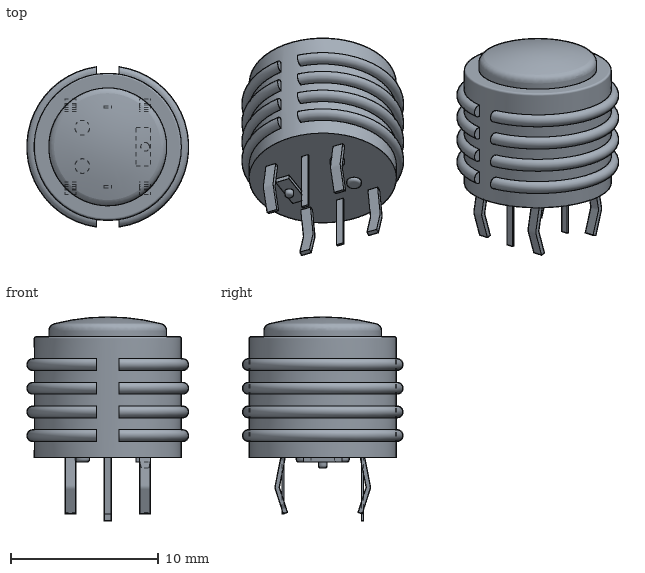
import cadquery as cq
import math

OVERALL_HEIGHT = 13.85

BODY_DIAMETER = 10.0
BODY_HEIGHT = 8.21
RIM_FILLET = 0.14
body_radius = BODY_DIAMETER / 2

BUTTON_DIAMETER = 8.0
BUTTON_FILLET = 0.5
DOME_TOP = 9.55
DOME_SPHERE_RADIUS = 14.54

RING_COUNT = 4
RING_FIRST_Z = 1.5
RING_PITCH = 1.6
RING_HEIGHT = 0.8
RING_PROJECTION = 0.5
RING_GAP = 1.5

LEG_ROOT_Y = 2.7
ROOT_DEPTH = 0.42

LEG_X = 2.53
LEG_WIDTH = 0.73
LEG_THICKNESS = 0.3
LEG_BEND_Z = -2.02
LEG_BEND_Y = 3.1
LEG_TIP_Z = -3.77
LEG_TIP_Y = 2.53
LEG_BEND_RADIUS = 0.35

PIN_WIDTH = 0.5
PIN_THICKNESS = 0.15
LONG_PIN_LENGTH = OVERALL_HEIGHT - DOME_TOP
SHORT_PIN_LENGTH = 3.82

FOOT_HEIGHT = 0.3
FOOT_DIAMETER = 1.0
FOOT_X = -1.73
FOOT_Y = 1.3
FOOT_FILLET = 0.18
PAD_INNER_X = 1.91
PAD_LENGTH_X = 1.0
PAD_WIDTH_Y = 2 * FOOT_Y
POST_X = LEG_X
POST_DIAMETER = 0.6
POST_LENGTH = 0.72
POST_FILLET = 0.18


def make_body():
    cylinder = cq.Workplane("XY").circle(body_radius).extrude(BODY_HEIGHT)
    return cylinder.faces(">Z").edges().fillet(RIM_FILLET)


def make_button():
    """Cylinder trimmed by a sphere, with the edge between the two rounded."""
    base_z = BODY_HEIGHT - ROOT_DEPTH
    cylinder = (
        cq.Workplane("XY", origin=(0, 0, base_z))
        .circle(BUTTON_DIAMETER / 2)
        .extrude(DOME_TOP - base_z)
    )
    sphere_center = (0, 0, DOME_TOP - DOME_SPHERE_RADIUS)
    dome = cq.Workplane("XY", origin=sphere_center).sphere(DOME_SPHERE_RADIUS)
    return cylinder.intersect(dome).faces("%CYLINDER").edges(">Z").fillet(BUTTON_FILLET)


def make_rings():
    """Rings with a half-round outer profile, split by one straight gap along Y."""
    nose_radius = RING_HEIGHT / 2
    outer_radius = body_radius + RING_PROJECTION
    nose_center = outer_radius - nose_radius
    inner_radius = body_radius - ROOT_DEPTH
    rings = cq.Workplane("XY")
    for index in range(RING_COUNT):
        z = RING_FIRST_Z + index * RING_PITCH
        ring = (
            cq.Workplane("XZ")
            .moveTo(inner_radius, z - nose_radius)
            .lineTo(nose_center, z - nose_radius)
            .threePointArc((outer_radius, z), (nose_center, z + nose_radius))
            .lineTo(inner_radius, z + nose_radius)
            .close()
            .revolve(360, (0, 0, 0), (0, 1, 0))
        )
        rings = rings.add(ring)
    gap = (
        cq.Workplane("XY")
        .rect(RING_GAP, 2 * BODY_DIAMETER)
        .extrude(BODY_HEIGHT)
    )
    return rings.combine().cut(gap)


def make_leg(x, side):
    """Strip bent outward once; side is +1 or -1 for the +Y or -Y leg."""
    upper_slope = (LEG_BEND_Y - LEG_ROOT_Y) / -LEG_BEND_Z
    lower_run = LEG_TIP_Y - LEG_BEND_Y
    lower_drop = LEG_TIP_Z - LEG_BEND_Z
    root = (side * (LEG_ROOT_Y - upper_slope * ROOT_DEPTH), ROOT_DEPTH)
    bend = (side * LEG_BEND_Y, LEG_BEND_Z)
    tip = (side * LEG_TIP_Y, LEG_TIP_Z)

    half = LEG_THICKNESS / 2
    upper_angle = math.atan(upper_slope)
    lower_angle = math.atan2(lower_run, -lower_drop)
    miter_angle = (upper_angle + lower_angle) / 2
    miter_half = half / math.cos((upper_angle - lower_angle) / 2)

    def shifted(point, angle, distance):
        return (point[0] + side * distance * math.cos(angle), point[1] + distance * math.sin(angle))

    outline = [
        shifted(root, upper_angle, half),
        shifted(bend, miter_angle, miter_half),
        shifted(tip, lower_angle, half),
        shifted(tip, lower_angle, -half),
        shifted(bend, miter_angle, -miter_half),
        shifted(root, upper_angle, -half),
    ]
    strip = (
        cq.Workplane("YZ", origin=(x, 0, 0))
        .polyline(outline)
        .close()
        .extrude(LEG_WIDTH / 2, both=True)
    )
    inward, outward = ("<Y", ">Y") if side > 0 else (">Y", "<Y")
    bend_zone = cq.selectors.BoxSelector(
        (x - LEG_WIDTH, bend[0] - LEG_THICKNESS, LEG_BEND_Z - LEG_THICKNESS),
        (x + LEG_WIDTH, bend[0] + LEG_THICKNESS, LEG_BEND_Z + LEG_THICKNESS),
    )
    inner_edge = strip.edges("|X").edges(bend_zone).edges(inward)
    strip = inner_edge.fillet(LEG_BEND_RADIUS - half)
    outer_edge = strip.edges("|X").edges(outward)
    return outer_edge.fillet(LEG_BEND_RADIUS + half)


def make_pin(y, length):
    return (
        cq.Workplane("XY", origin=(0, y, -length))
        .rect(PIN_WIDTH, PIN_THICKNESS)
        .extrude(length + ROOT_DEPTH)
    )


def make_round_peg(x, y, diameter, length, tip_fillet):
    return (
        cq.Workplane("XY", origin=(x, y, -length))
        .circle(diameter / 2)
        .extrude(length + ROOT_DEPTH)
        .faces("<Z")
        .edges()
        .fillet(tip_fillet)
    )


def make_pad():
    return (
        cq.Workplane("XY", origin=(PAD_INNER_X + PAD_LENGTH_X / 2, 0, -FOOT_HEIGHT))
        .rect(PAD_LENGTH_X, PAD_WIDTH_Y)
        .extrude(FOOT_HEIGHT + ROOT_DEPTH)
    )


result = make_body().union(make_button()).union(make_rings())
for side in (1, -1):
    for leg_x in (LEG_X, -LEG_X):
        result = result.union(make_leg(leg_x, side))
    foot = make_round_peg(FOOT_X, side * FOOT_Y, FOOT_DIAMETER, FOOT_HEIGHT, FOOT_FILLET)
    result = result.union(foot)
result = result.union(make_pin(LEG_ROOT_Y, LONG_PIN_LENGTH))
result = result.union(make_pin(-LEG_ROOT_Y, SHORT_PIN_LENGTH))
result = result.union(make_pad())
result = result.union(make_round_peg(POST_X, 0, POST_DIAMETER, POST_LENGTH, POST_FILLET))